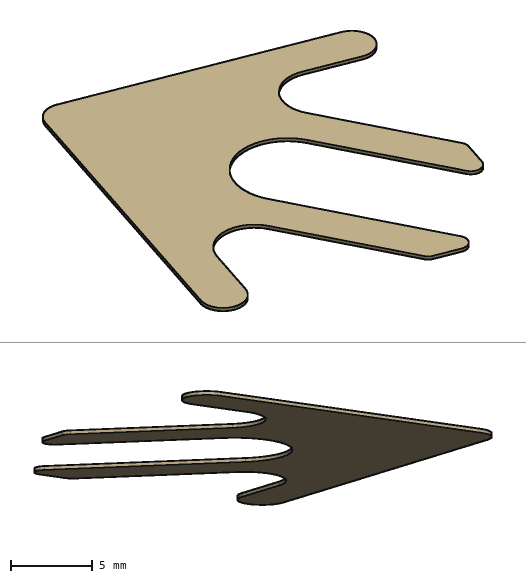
import cadquery as cq
import math

length = 25.4
width = 22.35
thickness = 0.25

arm_width = 3.05
end_radius = arm_width / 2
corner_radius = 1.52

side_notch_radius = 2.55
side_notch_reach = 16.76
lower_notch_reach = 19.8
middle_notch_radius = 3.55
middle_notch_x = 12.7
middle_notch_y = 11.18

tip_radius = 0.75

left_notch = (arm_width + side_notch_radius, side_notch_reach)
middle_notch = (middle_notch_x, middle_notch_y)
lower_notch = (lower_notch_reach, arm_width + side_notch_radius)


def on_circle(center, radius, angle):
    """Point on a circle at an angle in degrees from +X."""
    a = math.radians(angle)
    return (center[0] + radius * math.cos(a), center[1] + radius * math.sin(a))


def along_to_y(point, y):
    """Follow the 45 degree line through a point up to height y."""
    return (point[0] + y - point[1], y)


def along_to_x(point, x):
    """Follow the 45 degree line through a point across to x."""
    return (x, point[1] + x - point[0])


upper_finger_outer = on_circle(left_notch, side_notch_radius, -45)
upper_finger_inner = on_circle(middle_notch, middle_notch_radius, 135)
lower_finger_inner = on_circle(middle_notch, middle_notch_radius, -45)
lower_finger_outer = on_circle(lower_notch, side_notch_radius, 135)

upper_tip = [along_to_y(upper_finger_outer, width), along_to_y(upper_finger_inner, width)]
lower_tip = [along_to_x(lower_finger_inner, length), along_to_x(lower_finger_outer, length)]

plate = (
    cq.Workplane("XY")
    .moveTo(0, 0)
    .lineTo(0, width - end_radius)
    .threePointArc((end_radius, width), (arm_width, width - end_radius))
    .lineTo(arm_width, left_notch[1])
    .threePointArc(on_circle(left_notch, side_notch_radius, -112.5), upper_finger_outer)
    .lineTo(*upper_tip[0])
    .lineTo(*upper_tip[1])
    .lineTo(*upper_finger_inner)
    .threePointArc(on_circle(middle_notch, middle_notch_radius, -135), lower_finger_inner)
    .lineTo(*lower_tip[0])
    .lineTo(*lower_tip[1])
    .lineTo(*lower_finger_outer)
    .threePointArc(on_circle(lower_notch, side_notch_radius, -157.5), (lower_notch[0], arm_width))
    .lineTo(length - end_radius, arm_width)
    .threePointArc((length, end_radius), (length - end_radius, 0))
    .close()
    .extrude(thickness)
)


def round_corner(body, point, radius):
    """Fillet the upright edge standing at a corner of the outline."""
    edge_middle = (point[0], point[1], thickness / 2)
    return body.edges("|Z").edges(cq.NearestToPointSelector(edge_middle)).fillet(radius)


plate = round_corner(plate, (0, 0), corner_radius)
for tip_corner in upper_tip + lower_tip:
    plate = round_corner(plate, tip_corner, tip_radius)

result = plate